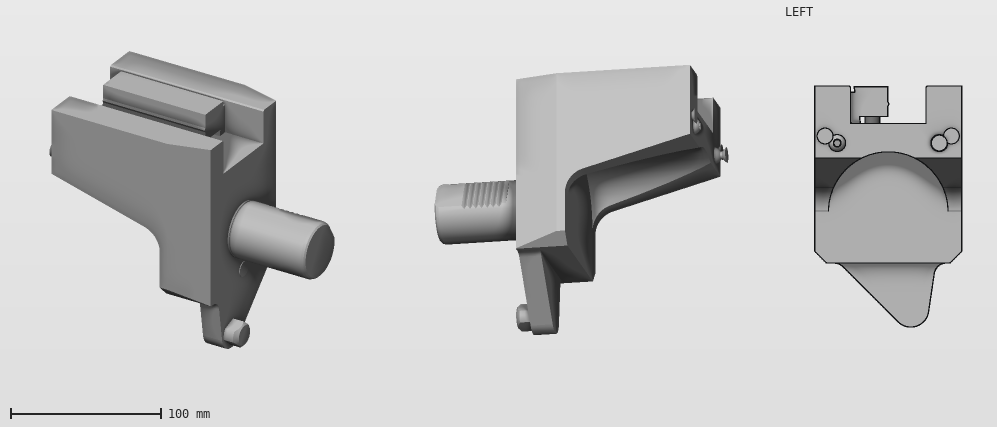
import cadquery as cq
import math


body_length = 120.0
body_width = 98.0
top_z = 78.0
bottom_z = -40.0
front_bottom_z = 30.0
underside_angle = math.radians(15)
flange_thickness = 35.0
underside_radius = 16.3
corner_chamfer = 8.0
taper_length = 29.2
side_taper_angle = math.radians(15)
taper_depth = taper_length * math.tan(side_taper_angle)

clearance_radius = 39.7
clearance_z = -5.6

slot_width = 50.0
slot_depth = 25.0
slot_edge_chamfer = 1.0
slot_floor_z = top_z - slot_depth

bar_start = 10.0
bar_length = 80.0
bar_height = 19.9
bar_top_gap = 0.5
bar_inner_y = 0.2
bar_foot_width = 6.0
bar_step_depth = 3.5
bar_step_width = 2.2
bar_undercut = 0.5
bar_foot_chamfer = 0.7
ridge_height = 0.7
ridge_width = 3.2
ridge_drop = 11.6
bar_pin_diameter = 10.0
bar_pin_y = 10.5

plug_y = 42.0
plug_z = 44.6
plug_tip_radius = 5.2
plug_length = 2.6
nozzle_y = 34.0
nozzle_z = 40.0
head_base_radius = 5.6
head_tip_radius = 2.6
head_length = 3.5
hex_width = 4.3
hex_depth = 2.5
neck_end = 4.9
nozzle_length = 7.5

shank_diameter = 40.0
shank_radius = shank_diameter / 2
shank_length = 60.0
lead_in_length = 2.8
lead_in_depth = 0.65
end_chamfer = 1.03
groove_start = 1.1
groove_end = 2.2
groove_depth = 0.5

flat_tilt = 30
flat_distance = 16.9
flat_start = 11.2
flat_runout = 1.1
tooth_count = 7
tooth_pitch = 4.0
tooth_depth = 1.5
tooth_mouth = 3.5
first_tooth = 16.0
cutter_margin = 1.9

leg_thickness = 15.0
leg_y = -15.0
leg_z = -70.5
leg_radius = 12.0
leg_root_radius = 7.9
leg_root_half_width = 40.3
leg_root_overlap = 1.9
leg_slope_angle = math.radians(45)
leg_steep_angle = math.radians(8.5)
pin_radius = 10.0
pin_length = 10.1
pin_chamfer = 2.8
pin_half_height = 9.2
pin_flat_angle = math.radians(30)

seal_diameter = 10.9
seal_z = -30.0
seal_height = 0.5


def make_body():
    run = body_length - flange_thickness
    corner_z = front_bottom_z - run * math.tan(underside_angle)
    side = (
        cq.Workplane("XZ")
        .moveTo(-body_length, top_z)
        .lineTo(0, top_z)
        .lineTo(0, bottom_z)
        .lineTo(-flange_thickness, bottom_z)
        .lineTo(-flange_thickness, corner_z)
        .lineTo(-body_length, front_bottom_z)
        .close()
        .extrude(body_width / 2, both=True)
    )
    inner_corner = cq.selectors.NearestToPointSelector((-flange_thickness, 0, corner_z))
    side = side.edges("|Y").edges(inner_corner).fillet(underside_radius)
    side = side.edges("|X and <Z").chamfer(corner_chamfer)

    half = body_width / 2
    plan = (
        cq.Workplane("XY")
        .workplane(offset=bottom_z)
        .polyline([
            (-body_length, -half),
            (-taper_length, -half),
            (0, -half + taper_depth),
            (0, half - taper_depth),
            (-taper_length, half),
            (-body_length, half),
        ])
        .close()
        .extrude(top_z - bottom_z)
    )
    return side.intersect(plan)


def make_clearance():
    return (
        cq.Workplane("YZ")
        .workplane(offset=-body_length)
        .center(0, clearance_z)
        .circle(clearance_radius)
        .extrude(body_length - flange_thickness)
    )


def make_slot():
    half = slot_width / 2
    mouth = half + slot_edge_chamfer
    return (
        cq.Workplane("YZ")
        .polyline([
            (-half, slot_floor_z),
            (half, slot_floor_z),
            (half, top_z - slot_edge_chamfer),
            (mouth, top_z),
            (-mouth, top_z),
            (-half, top_z - slot_edge_chamfer),
        ])
        .close()
        .extrude(-body_length)
    )


def make_clamping_bar():
    wall_y = slot_width / 2
    bar_top = top_z - bar_top_gap
    bar_bottom = bar_top - bar_height
    step_z = bar_top - bar_step_depth
    step_y = wall_y - bar_step_width
    foot_y = wall_y - bar_foot_width
    ridge_z = bar_top - ridge_drop
    bar_front = bar_start - body_length
    bar = (
        cq.Workplane("YZ")
        .workplane(offset=bar_front)
        .polyline([
            (bar_inner_y, bar_top),
            (step_y, bar_top),
            (step_y - bar_undercut, step_z),
            (wall_y, step_z),
            (wall_y, slot_floor_z + bar_foot_chamfer),
            (wall_y - bar_foot_chamfer, slot_floor_z),
            (foot_y - bar_undercut, slot_floor_z),
            (foot_y, bar_bottom),
            (bar_inner_y, bar_bottom),
            (bar_inner_y, ridge_z - ridge_width / 2),
            (bar_inner_y - ridge_height, ridge_z),
            (bar_inner_y, ridge_z + ridge_width / 2),
        ])
        .close()
        .extrude(bar_length)
    )
    pin = (
        cq.Workplane("XY")
        .workplane(offset=slot_floor_z)
        .center(bar_front + bar_length / 2, bar_pin_y)
        .circle(bar_pin_diameter / 2)
        .extrude(bar_bottom - slot_floor_z)
    )
    return bar.union(pin)


def revolve_on_front_face(profile, y, z):
    """Turn a profile, drawn with X out of the front face and Y as radius, about an axis at (y, z)."""
    turned = profile.close().revolve(360, (0, 0, 0), (1, 0, 0))
    return turned.mirror("YZ").translate((-body_length, y, z))


def make_plug(y):
    plug_base_radius = plug_tip_radius - plug_length
    profile = cq.Workplane("XY").polyline([
        (0, 0),
        (0, plug_base_radius),
        (plug_length, plug_tip_radius),
        (plug_length, 0),
    ])
    return revolve_on_front_face(profile, y, plug_z)


def dome_profile():
    """Start a profile with the domed head, up to the rim of its flat tip."""
    center = (head_length**2 + head_tip_radius**2 - head_base_radius**2) / (2 * head_length)
    sphere_radius = math.hypot(head_base_radius, center)
    middle = head_length / 2
    middle_radius = math.sqrt(sphere_radius**2 - (middle - center) ** 2)
    return (
        cq.Workplane("XY")
        .lineTo(0, head_base_radius)
        .threePointArc((middle, middle_radius), (head_length, head_tip_radius))
    )


def make_socket_head():
    head = revolve_on_front_face(dome_profile().lineTo(head_length, 0), nozzle_y, nozzle_z)
    socket = (
        cq.Workplane("YZ")
        .workplane(offset=-body_length - head_length)
        .center(nozzle_y, nozzle_z)
        .polygon(6, hex_width / math.cos(math.pi / 6))
        .extrude(hex_depth)
    )
    return head.cut(socket)


def make_nozzle():
    profile = (
        dome_profile()
        .lineTo(neck_end, head_tip_radius)
        .lineTo(nozzle_length, plug_tip_radius)
        .lineTo(nozzle_length, 0)
    )
    return revolve_on_front_face(profile, -nozzle_y, nozzle_z)


def make_shank():
    chamfer_radius = shank_radius - lead_in_depth
    shank = (
        cq.Workplane("XY")
        .polyline([
            (0, 0),
            (0, shank_radius),
            (groove_start, shank_radius),
            (groove_start, shank_radius - groove_depth),
            (groove_end, shank_radius),
            (shank_length - lead_in_length, shank_radius),
            (shank_length - end_chamfer, chamfer_radius),
            (shank_length, chamfer_radius - end_chamfer),
            (shank_length, 0),
        ])
        .close()
        .revolve(360, (0, 0, 0), (1, 0, 0))
    )
    outside = shank_radius + cutter_margin
    runout_slope = flat_runout / (shank_radius - flat_distance)
    cutter = (
        cq.Workplane("XY")
        .polyline([
            (flat_start, flat_distance),
            (flat_start - runout_slope * (outside - flat_distance), outside),
            (shank_length, outside),
            (shank_length, flat_distance),
        ])
        .close()
        .extrude(shank_radius, both=True)
    )
    for i in range(tooth_count):
        x = first_tooth + i * tooth_pitch
        groove = (
            cq.Workplane("XY")
            .polyline([
                (x - tooth_mouth / 2, flat_distance),
                (x, flat_distance - tooth_depth),
                (x + tooth_mouth / 2, flat_distance),
            ])
            .close()
            .extrude(shank_radius, both=True)
        )
        cutter = cutter.union(groove)
    return shank.cut(cutter.rotate((0, 0, 0), (1, 0, 0), flat_tilt))


def make_leg():
    slope_y = leg_y + leg_radius * math.sin(leg_slope_angle)
    slope_z = leg_z - leg_radius * math.cos(leg_slope_angle)
    steep_y = leg_y - leg_radius * math.cos(leg_steep_angle)
    steep_z = leg_z - leg_radius * math.sin(leg_steep_angle)
    slope_root_y = slope_y + (bottom_z - slope_z) / math.tan(leg_slope_angle)
    steep_root_y = steep_y - (bottom_z - steep_z) * math.tan(leg_steep_angle)
    root_top = bottom_z + leg_root_overlap
    leg = (
        cq.Workplane("YZ")
        .moveTo(leg_root_half_width, root_top)
        .lineTo(leg_root_half_width, bottom_z)
        .lineTo(slope_root_y, bottom_z)
        .lineTo(slope_y, slope_z)
        .threePointArc((leg_y, leg_z - leg_radius), (steep_y, steep_z))
        .lineTo(steep_root_y, bottom_z)
        .lineTo(-leg_root_half_width, bottom_z)
        .lineTo(-leg_root_half_width, root_top)
        .close()
        .extrude(-leg_thickness)
    )
    for y in (slope_root_y, steep_root_y):
        root = cq.selectors.NearestToPointSelector((-leg_thickness / 2, y, bottom_z))
        leg = leg.edges("|X").edges(root).fillet(leg_root_radius)
    return leg


def make_diamond_pin():
    half_length = pin_half_height / math.tan(pin_flat_angle)
    diamond = (
        cq.Workplane("YZ")
        .polyline([(half_length, 0), (0, pin_half_height), (-half_length, 0), (0, -pin_half_height)])
        .close()
        .extrude(pin_length)
    )
    round_pin = cq.Workplane("YZ").circle(pin_radius).extrude(pin_length)
    round_pin = round_pin.faces(">X").chamfer(pin_chamfer)
    tilt = math.degrees(math.atan2(leg_y, -leg_z))
    return round_pin.intersect(diamond).rotate((0, 0, 0), (1, 0, 0), tilt).translate((0, leg_y, leg_z))


def make_seal():
    return cq.Workplane("YZ").center(0, seal_z).circle(seal_diameter / 2).extrude(seal_height)


result = make_body().cut(make_clearance()).cut(make_slot())
result = result.union(make_clamping_bar())
for side_y in (-plug_y, plug_y):
    result = result.union(make_plug(side_y))
result = result.union(make_socket_head())
result = result.union(make_nozzle())
result = result.union(make_shank())
result = result.union(make_leg())
result = result.union(make_diamond_pin())
result = result.union(make_seal())